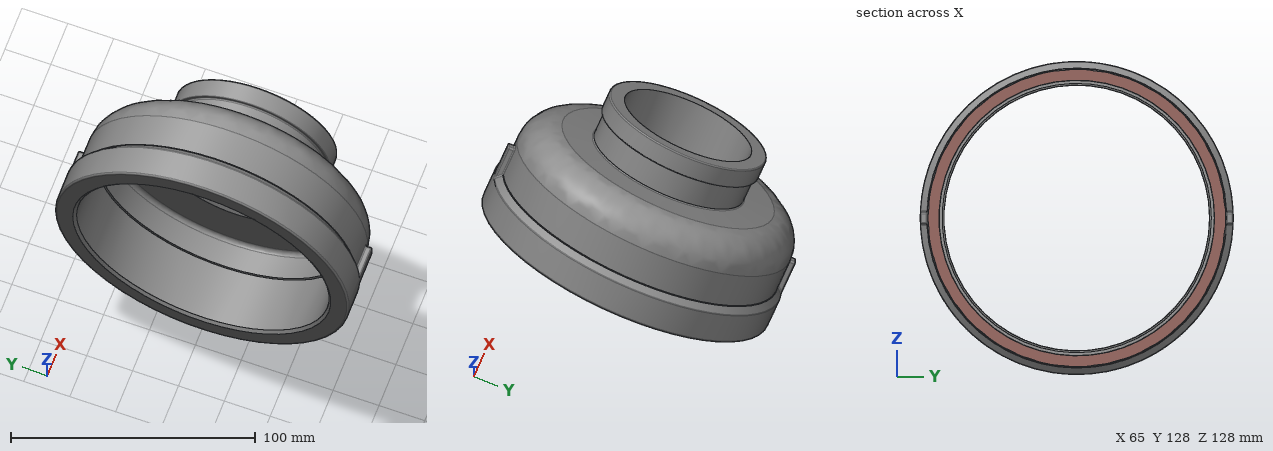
import cadquery as cq
import math

collar_radius = 64.0
collar_length = 13.0
body_radius = 122.4 / 2
dome_radius = 14.3
shoulder_x = 44.9
shoulder_slope = math.radians(2)
neck_radius = 67.0 / 2
flange_radius = 70.0 / 2
flange_start = 56.7
total_length = 65.0

mouth_radius = 112.5 / 2
socket_radius = 110.1 / 2
lip_x = 25.9
lip_ramp = 0.3
lip_radius = 54.3
cavity_radius = mouth_radius
floor_x = 40.0
cavity_fillet = 2.0
funnel_radius = 33.5
funnel_length = 3.1
outlet_radius = 56.7 / 2

rib_width = 5.0
rib_end = 28.0

mouth_rounding = 0.8
neck_rounding = 0.5
flange_rounding = 0.3
rim_rounding = 0.5
rib_corner_rounding = 0.8
step_rounding = 0.5

tolerance = 0.01

mouth_chamfer = mouth_radius - socket_radius
step_end = collar_length + collar_radius - body_radius
relief_end = rib_end + 1.3
dome_x = shoulder_x - (body_radius - neck_radius) * math.tan(shoulder_slope)
cavity_end = floor_x - (cavity_radius - funnel_radius) * math.tan(shoulder_slope)


def turned_body():
    """Revolve the half section about X, with sharp corners."""
    outside = [
        (0, collar_radius),
        (relief_end, collar_radius),
        (relief_end, body_radius),
        (dome_x, body_radius),
        (shoulder_x, neck_radius),
        (flange_start, neck_radius),
        (flange_start, flange_radius),
        (total_length, flange_radius),
    ]
    inside = [
        (total_length, outlet_radius),
        (floor_x + funnel_length, outlet_radius),
        (floor_x, funnel_radius),
        (cavity_end, cavity_radius),
        (lip_x, cavity_radius),
        (lip_x, lip_radius),
        (lip_x - lip_ramp, socket_radius),
        (mouth_chamfer, socket_radius),
        (0, mouth_radius),
    ]
    section = cq.Workplane("XY").polyline(outside + inside).close()
    return section.revolve(360, (0, 0, 0), (1, 0, 0))


def ring_edges(body, x, radius):
    """Circular edges around the X axis at the given place."""
    return [
        edge for edge in body.val().Edges()
        if edge.geomType() == "CIRCLE"
        and abs(edge.radius() - radius) < tolerance
        and abs(edge.arcCenter().x - x) < tolerance
    ]


def round_rings(body, places, size):
    """Fillet the circular edges at each (x, radius) place."""
    edges = [edge for x, radius in places for edge in ring_edges(body, x, radius)]
    return body.newObject(edges).fillet(size)


def collar_relief():
    """Ring of material behind the collar, leaving one rib standing at +Y and one at -Y."""
    outer_radius = collar_radius + 1.3
    section = [
        (collar_length + collar_radius - outer_radius, outer_radius),
        (step_end, body_radius),
        (relief_end, body_radius),
        (relief_end, outer_radius),
    ]
    ring = cq.Workplane("XY").polyline(section).close().revolve(360, (0, 0, 0), (1, 0, 0))
    ribs = (
        cq.Workplane("XZ")
        .center(rib_end / 2, 0)
        .rect(rib_end, rib_width)
        .extrude(2 * collar_radius, both=True)
        .edges("|Y and >X")
        .fillet(rib_corner_rounding)
    )
    return ring.cut(ribs)


def round_step_and_ribs(body):
    """Fillet every edge of the collar step and of the ribs that run out of it."""
    def belongs(edge):
        box = edge.BoundingBox()
        if box.xmin < collar_length - tolerance or box.xmax > rib_end + tolerance:
            return False
        if edge.geomType() == "HYPERBOLA":
            return True
        ends_and_middle = [edge.positionAt(place) for place in (0, 0.5, 1)]
        radii = [math.hypot(point.y, point.z) for point in ends_and_middle]
        return any(
            all(abs(radius - surface) < tolerance for radius in radii)
            for surface in (collar_radius, body_radius)
        )

    return body.newObject([edge for edge in body.val().Edges() if belongs(edge)]).fillet(step_rounding)


result = turned_body()
result = round_rings(result, [(dome_x, body_radius)], dome_radius)
result = round_rings(result, [(cavity_end, cavity_radius)], cavity_fillet)
result = round_rings(result, [(0, collar_radius)], mouth_rounding)
result = round_rings(result, [(shoulder_x, neck_radius), (flange_start, neck_radius)], neck_rounding)
result = round_rings(result, [(flange_start, flange_radius)], flange_rounding)
result = round_rings(result, [(total_length, flange_radius)], rim_rounding)
result = result.cut(collar_relief()).clean()
result = round_step_and_ribs(result)